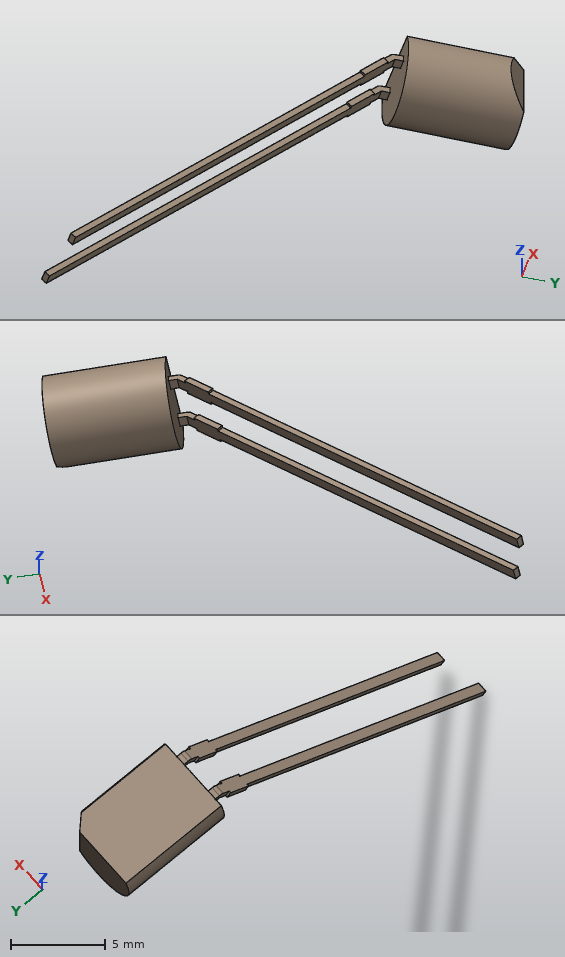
import cadquery as cq
import math

housing_diameter = 5.0
housing_height = 3.57
housing_length = 6.65
corner_chamfer = 1.0

lead_pitch = 2.55
lead_width = 0.6
lead_thickness = 0.35
lead_top_depth = 0.82
embedded_length = 1.0
bend_angle = 45.0
overall_length = 25.7
overall_height = 19.5
short_lead_reduction = 0.98

wide_width = 0.85
wide_start = 0.6
wide_length = 1.8

housing_radius = housing_diameter / 2
axis_depth = housing_height - housing_radius
flat_half_width = math.sqrt(housing_radius**2 - axis_depth**2)
lead_underside_depth = lead_top_depth + lead_thickness
slope_sin = math.sin(math.radians(bend_angle))
slope_cos = math.cos(math.radians(bend_angle))
long_slope_length = (overall_height - lead_underside_depth) / slope_sin
slope_reach = long_slope_length * slope_cos + lead_thickness * slope_sin
straight_length = overall_length - housing_length - slope_reach
short_slope_length = long_slope_length - short_lead_reduction


def make_housing():
    """D-shaped bar with one rear vertical corner cut off on the +X side."""
    bar = (
        cq.Workplane("XZ")
        .moveTo(-flat_half_width, 0)
        .threePointArc((0, -housing_height), (flat_half_width, 0))
        .close()
        .extrude(-housing_length)
    )
    corner_cut = (
        cq.Workplane("XY")
        .moveTo(housing_radius, housing_length)
        .lineTo(housing_radius - corner_chamfer, housing_length)
        .lineTo(housing_radius, housing_length - corner_chamfer)
        .close()
        .extrude(-housing_height)
    )
    return bar.cut(corner_cut)


def slope_point(along, above):
    """(Y, Z) of a point on the slope: distance past the bend, height over the underside."""
    y = -straight_length - along * slope_cos - above * slope_sin
    z = -lead_underside_depth - along * slope_sin + above * slope_cos
    return (y, z)


def make_lead(center_x, slope_length):
    """Strip with a sharp inner and a round outer bend, and a wide stretch on the slope."""
    half_bend = math.radians(bend_angle / 2)
    bend_middle = (
        -straight_length - lead_thickness * math.sin(half_bend),
        -lead_underside_depth + lead_thickness * math.cos(half_bend),
    )
    strip = (
        cq.Workplane("YZ", origin=(center_x, 0, 0))
        .moveTo(embedded_length, -lead_underside_depth)
        .lineTo(embedded_length, -lead_top_depth)
        .lineTo(-straight_length, -lead_top_depth)
        .threePointArc(bend_middle, slope_point(0, lead_thickness))
        .lineTo(*slope_point(slope_length, lead_thickness))
        .lineTo(*slope_point(slope_length, 0))
        .lineTo(*slope_point(0, 0))
        .close()
        .extrude(lead_width / 2, both=True)
    )
    wide_end = wide_start + wide_length
    wide_stretch = (
        cq.Workplane("YZ", origin=(center_x, 0, 0))
        .polyline([
            slope_point(wide_start, 0),
            slope_point(wide_start, lead_thickness),
            slope_point(wide_end, lead_thickness),
            slope_point(wide_end, 0),
        ])
        .close()
        .extrude(wide_width / 2, both=True)
    )
    return strip.union(wide_stretch).clean()


housing = make_housing()
leads = [
    make_lead(center_x, slope_length)
    for center_x, slope_length in (
        (-lead_pitch / 2, long_slope_length),
        (lead_pitch / 2, short_slope_length),
    )
]

for lead in leads:
    housing = housing.cut(lead)

result = cq.Compound.makeCompound([housing.val(), *[lead.val() for lead in leads]])